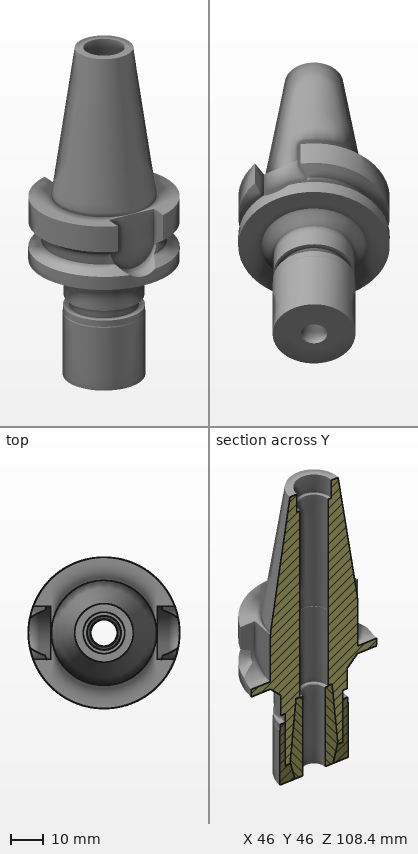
import cadquery as cq

total_height = 108.4
nut_height = 23.2
body_shoulder_z = 26.3
body_top_z = 34.1
flange_bottom_z = 38.0
flange_top_z = 59.1
gauge_z = 60.0

gauge_radius = 15.9
taper_per_length = 7 / 24
shank_tip_radius = gauge_radius - (total_height - gauge_z) * taper_per_length / 2

flange_radius = 23.0
groove_radius = 19.2
groove_lower_edge_z = 42.4
groove_lower_floor_z = 44.8
groove_upper_floor_z = 48.2
groove_upper_edge_z = 50.6

body_radius = 12.2
neck_radius = 10.6

slot_half_width = 8.0
slot_floor_x = 16.2
slot_bottom_z = 41.1
slot_arc_start_z = 47.6

counterbore_radius = 6.3
counterbore_depth = 6.8
bore_radius = 5.2
lower_bore_radius = 5.1
bore_step_z = flange_top_z

collet_bore_radius = 4.0
collet_bore_chamfer = 0.2
collet_top_z = 30.4
collet_seat_top_radius = 6.5
collet_seat_radius = 8.7
collet_seat_z = 6.5
collet_face_radius = 7.0

nut_radius = 12.6
nut_collar_radius = 12.5
nut_collar_z = 21.1
nut_bevel_height = 0.3


def revolve_profile(points):
    """Revolve a closed (radius, z) outline about the Z axis."""
    return cq.Workplane("XZ").polyline(points).close().revolve(360, (0, 0), (0, 1))


def drive_slot(side):
    """Round-bottomed cutter for the drive slot on the +X (1) or -X (-1) side."""
    return (
        cq.Workplane("YZ", origin=(side * slot_floor_x, 0, 0))
        .moveTo(-slot_half_width, flange_top_z)
        .lineTo(-slot_half_width, slot_arc_start_z)
        .threePointArc((0, slot_bottom_z), (slot_half_width, slot_arc_start_z))
        .lineTo(slot_half_width, flange_top_z)
        .close()
        .extrude(side * flange_radius)
    )


def make_holder():
    counterbore_z = total_height - counterbore_depth
    holder = revolve_profile([
        (collet_seat_radius, collet_seat_z),
        (neck_radius, collet_seat_z),
        (neck_radius, body_shoulder_z),
        (body_radius, body_shoulder_z),
        (body_radius, body_top_z),
        (gauge_radius, flange_bottom_z),
        (flange_radius, flange_bottom_z),
        (flange_radius, groove_lower_edge_z),
        (groove_radius, groove_lower_floor_z),
        (groove_radius, groove_upper_floor_z),
        (flange_radius, groove_upper_edge_z),
        (flange_radius, flange_top_z),
        (gauge_radius, flange_top_z),
        (gauge_radius, gauge_z),
        (shank_tip_radius, total_height),
        (counterbore_radius, total_height),
        (counterbore_radius, counterbore_z),
        (bore_radius, counterbore_z),
        (bore_radius, bore_step_z),
        (lower_bore_radius, bore_step_z),
        (lower_bore_radius, collet_top_z),
        (collet_seat_top_radius, collet_top_z),
    ])
    for side in (-1, 1):
        holder = holder.cut(drive_slot(side))
    return holder


def make_collet():
    return revolve_profile([
        (collet_bore_radius, 0),
        (collet_face_radius, 0),
        (collet_seat_radius, collet_seat_z),
        (collet_seat_top_radius, collet_top_z),
        (collet_bore_radius + collet_bore_chamfer, collet_top_z),
        (collet_bore_radius, collet_top_z - collet_bore_chamfer),
    ])


def make_nut():
    return revolve_profile([
        (collet_face_radius, 0),
        (nut_radius, 0),
        (nut_radius, nut_collar_z - nut_bevel_height),
        (nut_collar_radius, nut_collar_z),
        (nut_collar_radius, nut_height),
        (neck_radius, nut_height),
        (neck_radius, collet_seat_z),
        (collet_seat_radius, collet_seat_z),
    ])


holder = make_holder()
collet = make_collet()
nut = make_nut()

result = cq.Compound.makeCompound([holder.val(), collet.val(), nut.val()])